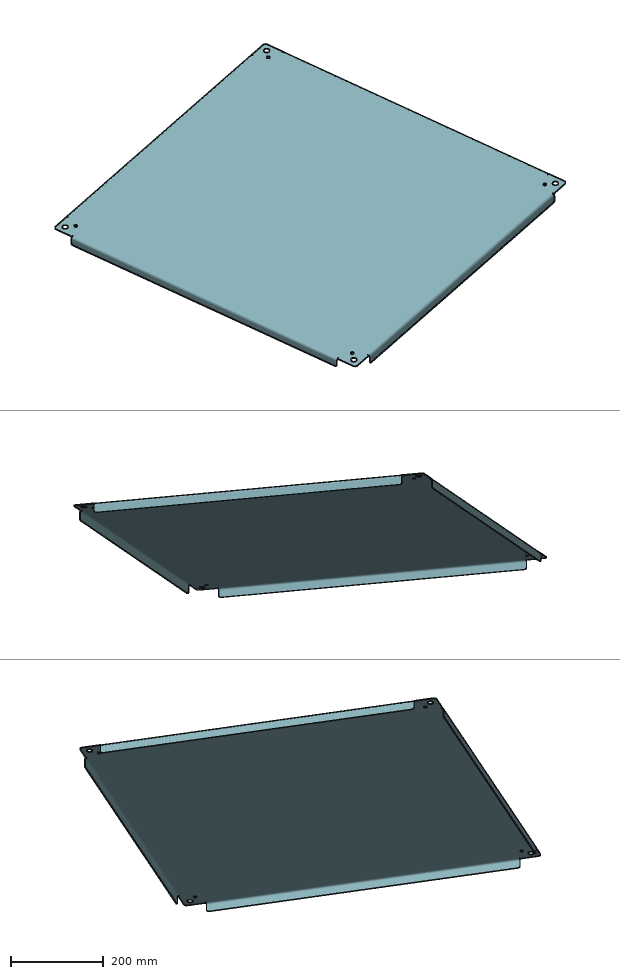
import cadquery as cq

length_x = 811.0
length_y = 783.0
height = 22.0

thickness = 2.0
bend_radius = 6.5
flange_end_gap = 52.0
flange_corner_radius = 5.0
plate_inset = 3.0
plate_corner_radius = 6.5

large_hole_diameter = 13.0
large_hole_inset = 21.0
small_hole_diameter = 7.1
small_hole_inset = 37.0


def make_plate():
    """Flat sheet with rounded corners, its top face at the full height."""
    return (
        cq.Workplane("XY", origin=(0, 0, height - thickness))
        .rect(length_x - 2 * plate_inset, length_y - 2 * plate_inset)
        .extrude(thickness)
        .edges("|Z")
        .fillet(plate_corner_radius)
    )


def make_flange(outer_distance, flange_length):
    """Bent flange on the +X side, with its outer face at outer_distance."""
    bend_start = outer_distance - bend_radius
    inner_face = outer_distance - thickness
    bend_bottom = height - bend_radius
    flange = (
        cq.Workplane("XZ")
        .moveTo(bend_start, height)
        .radiusArc((outer_distance, bend_bottom), bend_radius)
        .lineTo(outer_distance, 0)
        .lineTo(inner_face, 0)
        .lineTo(inner_face, bend_bottom)
        .radiusArc((bend_start, height - thickness), -(bend_radius - thickness))
        .close()
        .extrude(flange_length / 2, both=True)
    )
    return flange.edges("|X and <Z").fillet(flange_corner_radius)


def cut_plate_for_bend(plate, outer_distance, flange_length, angle):
    """Remove the plate edge where the sheet curves down into a flange."""
    cutter = (
        cq.Workplane("XY")
        .box(bend_radius, flange_length, height, centered=(False, True, False))
        .translate((outer_distance - bend_radius, 0, 0))
        .rotate((0, 0, 0), (0, 0, 1), angle)
    )
    return plate.cut(cutter)


def cut_corner_holes(body, diameter, inset):
    """Drill one hole through the sheet near every corner."""
    holes = (
        cq.Workplane("XY")
        .rect(length_x - 2 * inset, length_y - 2 * inset, forConstruction=True)
        .vertices()
        .circle(diameter / 2)
        .extrude(height)
    )
    return body.cut(holes)


result = make_plate()
x_side = (length_x / 2, length_y - 2 * flange_end_gap)
y_side = (length_y / 2, length_x - 2 * flange_end_gap)
for angle, (outer_distance, flange_length) in ((0, x_side), (90, y_side), (180, x_side), (270, y_side)):
    result = cut_plate_for_bend(result, outer_distance, flange_length, angle)
    flange = make_flange(outer_distance, flange_length)
    result = result.union(flange.rotate((0, 0, 0), (0, 0, 1), angle))

result = cut_corner_holes(result, large_hole_diameter, large_hole_inset)
result = cut_corner_holes(result, small_hole_diameter, small_hole_inset)